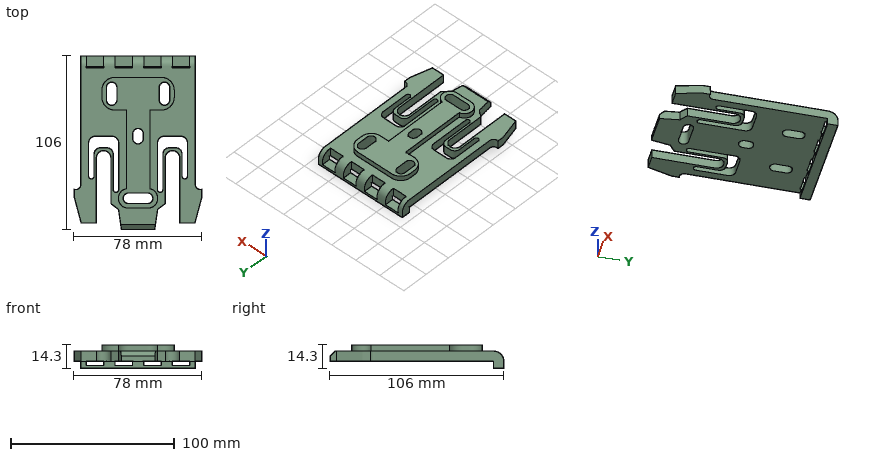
import cadquery as cq
import math


plate_thickness = 6.35
plate_half_width = 35.0
overall_length = 106.0
overall_height = 14.35

hook_drop = 4.35
hook_depth = 6.5
hook_radius = 6.35
window_width = 10.5
window_pitch = 17.5
window_count = 4
window_depth = 7.2
window_drop = 2.5

barb_half_width = 39.0
barb_relief_radius = 3.0
barb_relief_y = 78.5
barb_taper_y = 86.1
prong_tip_half_width = 34.75
prong_tip_y = 102.0

prong_center_x = 21.0
open_slot_width = 8.8
open_slot_y = 57.9

shoulder_y = 90.2
neck_half_width = 12.0
neck_y = 93.7
tip_half_width = 10.2
tip_chamfer = 3.0

relief_width = 18.2
relief_y = 49.1
relief_corner_radius = 4.0
relief_leg_width = 3.2
relief_strip_y = 56.0
relief_strip_radius = 4.0
outer_leg_end_y = 75.0
inner_leg_end_y = 83.2

pad_height = overall_height - plate_thickness - hook_drop
back_pad_width = 44.2
back_pad_length = 20.0
back_pad_radius = 8.0
back_pad_y = 23.1
front_pad_width = 24.0
front_pad_length = 12.0
front_pad_y = 86.9
rib_width = 14.3

mount_slot_width = 6.3
back_slot_length = 14.0
back_slot_x = 16.1
middle_slot_length = 9.3
middle_slot_y = 49.0
front_slot_length = 18.0

top_z = plate_thickness + pad_height
SIDES = (-1, 1)


def box(x_min, x_max, y_front, y_back, z_min, z_max):
    """Block spanning the given X range, distances from the back edge and Z range."""
    size = (x_max - x_min, y_front - y_back, z_max - z_min)
    block = cq.Workplane("XY").box(*size, centered=False)
    return block.translate((x_min, -y_front, z_min))


def make_plate():
    """Flat plate with the barbed prongs, open slots and tapered centre tongue."""
    barb_offset = barb_half_width - plate_half_width - barb_relief_radius
    barb_y = barb_relief_y + math.sqrt(barb_relief_radius**2 - barb_offset**2)
    relief_center_x = plate_half_width + barb_relief_radius
    mid_reach = barb_relief_radius * math.sqrt(0.5)
    slot_radius = open_slot_width / 2
    slot_outer_x = prong_center_x + slot_radius
    slot_inner_x = prong_center_x - slot_radius
    slot_arc_y = open_slot_y + slot_radius

    half = (
        cq.Workplane("XY")
        .moveTo(0, 0)
        .lineTo(plate_half_width, 0)
        .lineTo(plate_half_width, -barb_relief_y)
        .threePointArc(
            (relief_center_x - mid_reach, -barb_relief_y - mid_reach),
            (barb_half_width, -barb_y),
        )
        .lineTo(barb_half_width, -barb_taper_y)
        .lineTo(prong_tip_half_width, -prong_tip_y)
        .lineTo(slot_outer_x, -prong_tip_y)
        .lineTo(slot_outer_x, -slot_arc_y)
        .threePointArc((prong_center_x, -open_slot_y), (slot_inner_x, -slot_arc_y))
        .lineTo(slot_inner_x, -shoulder_y)
        .lineTo(neck_half_width, -neck_y)
        .lineTo(tip_half_width, -overall_length)
        .lineTo(0, -overall_length)
        .close()
        .extrude(plate_thickness)
    )
    plate = half.union(half.mirror("YZ"))
    return plate.faces("<Y").edges(">Z").chamfer(tip_chamfer)


def add_hook(plate):
    """Downturned lip along the back edge, rounded over on its top outer edge."""
    lip = box(-plate_half_width, plate_half_width, hook_depth, 0, -hook_drop, plate_thickness)
    return plate.union(lip).edges("|X and >Y and >Z").fillet(hook_radius)


def cut_hook_windows(body):
    """Row of windows through the plate edge, leaving a bar along the bottom of the hook."""
    for index in range(window_count):
        center_x = (index - (window_count - 1) / 2) * window_pitch
        window = box(
            center_x - window_width / 2,
            center_x + window_width / 2,
            window_depth,
            0,
            -window_drop,
            plate_thickness,
        )
        body = body.cut(window)
    return body


def relief_cutter():
    """U-shaped cutter on the +X side: a short outer leg and a longer inner leg with round ends."""
    outer_half = relief_width / 2
    inner_half = outer_half - relief_leg_width
    outer_x = prong_center_x + outer_half
    inner_x = prong_center_x - outer_half
    strip_outer_x = prong_center_x + inner_half
    strip_inner_x = prong_center_x - inner_half
    end_radius = relief_leg_width / 2
    outer_end_y = outer_leg_end_y - end_radius
    inner_end_y = inner_leg_end_y - end_radius

    block = box(inner_x, outer_x, inner_end_y, relief_y, 0, plate_thickness)
    block = block.edges("|Z and >Y").fillet(relief_corner_radius)
    strip = box(strip_inner_x, strip_outer_x, inner_end_y, relief_strip_y, 0, plate_thickness)
    strip = strip.edges("|Z and >Y").fillet(relief_strip_radius)
    leg_difference = box(strip_outer_x, outer_x, inner_end_y, outer_end_y, 0, plate_thickness)
    leg_ends = (
        cq.Workplane("XY")
        .pushPoints(
            [
                (outer_x - end_radius, -outer_end_y),
                (inner_x + end_radius, -inner_end_y),
            ]
        )
        .circle(end_radius)
        .extrude(plate_thickness)
    )
    return block.cut(strip).cut(leg_difference).union(leg_ends)


def cut_reliefs(body):
    cutter = relief_cutter()
    return body.cut(cutter).cut(cutter.mirror("YZ"))


def add_pads(body):
    """Back pad, front pad and the rib joining them, all flush on top."""
    back_pad = box(
        -back_pad_width / 2,
        back_pad_width / 2,
        back_pad_y + back_pad_length / 2,
        back_pad_y - back_pad_length / 2,
        plate_thickness,
        top_z,
    )
    back_pad = back_pad.edges("|Z").fillet(back_pad_radius)
    front_pad = (
        cq.Workplane("XY", origin=(0, -front_pad_y, plate_thickness))
        .slot2D(front_pad_width, front_pad_length)
        .extrude(pad_height)
    )
    rib = box(-rib_width / 2, rib_width / 2, front_pad_y, back_pad_y, plate_thickness, top_z)
    return body.union(back_pad).union(front_pad).union(rib)


def mounting_slot(center_x, center_y, length, angle):
    """Through slot cutter; angle 0 runs along X and 90 along Y."""
    return (
        cq.Workplane("XY", origin=(center_x, -center_y, 0))
        .slot2D(length, mount_slot_width, angle)
        .extrude(top_z)
    )


def cut_mounting_slots(body):
    for side in SIDES:
        body = body.cut(mounting_slot(side * back_slot_x, back_pad_y, back_slot_length, 90))
    body = body.cut(mounting_slot(0, middle_slot_y, middle_slot_length, 90))
    return body.cut(mounting_slot(0, front_pad_y, front_slot_length, 0))


result = make_plate()
result = add_hook(result)
result = cut_hook_windows(result)
result = cut_reliefs(result)
result = add_pads(result)
result = cut_mounting_slots(result)